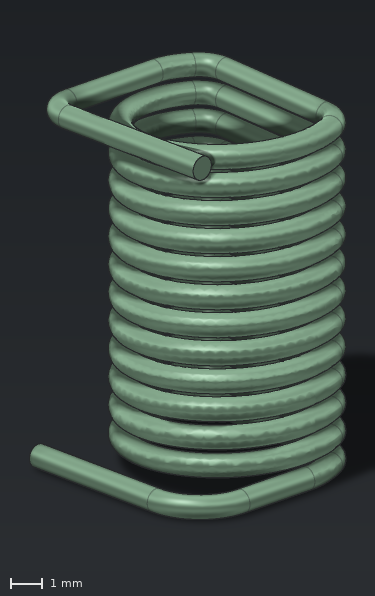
import cadquery as cq
import math

WIRE_DIAMETER = 0.8
OUTER_WIDTH = 7.75
OUTER_DEPTH = 7.5
OUTER_HEIGHT = 12.68
BACK_OFFSET = 1.95
CORNER_RADIUS = 0.98
LOWER_BEND_RADIUS = 1.9
UPPER_LEAD_END = 3.68
LOWER_LEAD_END = -3.83
FULL_TURNS = 12

WIRE_RADIUS = WIRE_DIAMETER / 2
COIL_RADIUS = OUTER_WIDTH / 2 - WIRE_RADIUS
LEAD_Y = BACK_OFFSET + WIRE_DIAMETER - OUTER_DEPTH
BOTTOM_Z = WIRE_RADIUS
TOP_Z = OUTER_HEIGHT - WIRE_RADIUS

CORNER_Y = BACK_OFFSET - CORNER_RADIUS
CORNER_X = math.sqrt((COIL_RADIUS - CORNER_RADIUS) ** 2 - CORNER_Y ** 2)
SIDE_ANGLE = math.degrees(math.atan2(CORNER_Y, CORNER_X))
CORNER_ANGLE = 90 - SIDE_ANGLE

BACK_LENGTH = 2 * (
    math.radians(SIDE_ANGLE) * COIL_RADIUS + math.radians(CORNER_ANGLE) * CORNER_RADIUS + CORNER_X
)
FRONT_LENGTH = math.pi * COIL_RADIUS
COIL_LENGTH = FULL_TURNS * (BACK_LENGTH + FRONT_LENGTH) + BACK_LENGTH
SLOPE = (TOP_Z - BOTTOM_Z) / COIL_LENGTH


def rising_arc(center_x, center_y, radius, start_angle, sweep_angle, z):
    """Counter-clockwise helical arc starting at height z; returns its edge and end height."""
    rise = math.radians(sweep_angle) * radius * SLOPE
    pitch = 2 * math.pi * radius * SLOPE
    helix = cq.Wire.makeHelix(pitch, rise, radius)
    helix = helix.rotate(cq.Vector(0, 0, 0), cq.Vector(0, 0, 1), start_angle)
    helix = helix.translate(cq.Vector(center_x, center_y, z))
    return helix.Edges()[0], z + rise


def bent_back(z):
    """Right corner, flat back and left corner; returns their edges and end height."""
    right_corner, z = rising_arc(CORNER_X, CORNER_Y, CORNER_RADIUS, SIDE_ANGLE, CORNER_ANGLE, z)
    flat_end_z = z + 2 * CORNER_X * SLOPE
    flat = cq.Edge.makeLine(
        cq.Vector(CORNER_X, BACK_OFFSET, z), cq.Vector(-CORNER_X, BACK_OFFSET, flat_end_z)
    )
    left_corner, z = rising_arc(-CORNER_X, CORNER_Y, CORNER_RADIUS, 90, CORNER_ANGLE, flat_end_z)
    return [right_corner, flat, left_corner], z


def easing_curve(side, lead_z, coil_z):
    """Short curve on one coil side, easing from the level lead into the climb at the corner."""
    angle = math.radians(SIDE_ANGLE)
    lead_point = cq.Vector(side * COIL_RADIUS, 0, lead_z)
    coil_point = cq.Vector(side * COIL_RADIUS * math.cos(angle), COIL_RADIUS * math.sin(angle), coil_z)
    lead_direction = cq.Vector(0, 1, 0)
    coil_direction = cq.Vector(-side * math.sin(angle), math.cos(angle), side * SLOPE)
    return cq.Edge.makeSpline([lead_point, coil_point], [lead_direction, coil_direction])


def coil_edges():
    """Centreline of the coil from the lower right side to the upper left side."""
    side_rise = math.radians(SIDE_ANGLE) * COIL_RADIUS * SLOPE
    z = BOTTOM_Z + side_rise
    edges = [easing_curve(1, BOTTOM_Z, z)]
    for _ in range(FULL_TURNS):
        back, z = bent_back(z)
        front, z = rising_arc(0, 0, COIL_RADIUS, 180 - SIDE_ANGLE, 180 + 2 * SIDE_ANGLE, z)
        edges += back + [front]
    last_back, z = bent_back(z)
    return edges + last_back + [easing_curve(-1, TOP_Z, z)]


def lead_edges(side, z, bend_radius, end_x):
    """Level lead from its free end: across the front, a bend, then back to the coil side."""
    side_x = side * COIL_RADIUS
    bend_x = side_x - side * bend_radius
    bend_y = LEAD_Y + bend_radius
    diagonal = bend_radius * math.sqrt(0.5)
    free_end = cq.Vector(end_x, LEAD_Y, z)
    bend_start = cq.Vector(bend_x, LEAD_Y, z)
    bend_middle = cq.Vector(bend_x + side * diagonal, bend_y - diagonal, z)
    bend_end = cq.Vector(side_x, bend_y, z)
    coil_side = cq.Vector(side_x, 0, z)
    return [
        cq.Edge.makeLine(free_end, bend_start),
        cq.Edge.makeThreePointArc(bend_start, bend_middle, bend_end),
        cq.Edge.makeLine(bend_end, coil_side),
    ]


lower_lead = lead_edges(1, BOTTOM_Z, LOWER_BEND_RADIUS, LOWER_LEAD_END)
upper_lead = lead_edges(-1, TOP_Z, CORNER_RADIUS, UPPER_LEAD_END)
wire_path = cq.Wire.assembleEdges(lower_lead + coil_edges() + upper_lead[::-1])

result = (
    cq.Workplane("YZ", origin=(LOWER_LEAD_END, LEAD_Y, BOTTOM_Z))
    .circle(WIRE_RADIUS)
    .sweep(cq.Workplane(wire_path))
)